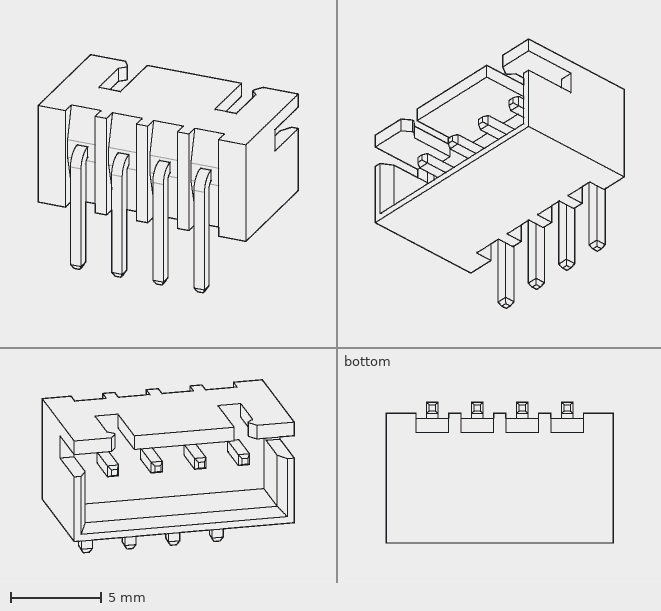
import cadquery as cq


HOUSING_WIDTH = 12.6
HOUSING_DEPTH = 7.21
HOUSING_HEIGHT = 5.93
WALL = 0.81

CAVITY_DEPTH = 3.69
LEAD_IN_DEPTH = 0.69
LEAD_IN_WIDTH = 0.4

WINDOW_DEPTH = 3.2
WINDOW_HEIGHT = 1.31

SLOT_INNER_X = 2.86
SLOT_OUTER_X = 4.17
BUMP_HEIGHT = 0.35
BUMP_PEAK_DEPTH = 0.53
BUMP_FLAT = 0.13
BUMP_END_DEPTH = BUMP_PEAK_DEPTH + BUMP_FLAT + BUMP_HEIGHT

PIN_COUNT = 4
PIN_PITCH = 2.5
PIN_SIZE = 0.64
PIN_PROTRUSION = 0.62
PIN_TOP_Z = 3.82
PIN_BOTTOM_Z = -3.41
PIN_END_SETBACK = 1.02
BEND_INNER_RADIUS = 0.32
TIP_LENGTH = 0.28
TIP_INSET = 0.15

RECESS_WIDTH = 1.8
RECESS_TOP_DEPTH = 0.82
RECESS_LAND_DEPTH = 0.29
RECESS_BOTTOM_DEPTH = 1.08
LAND_TOP_Z = 4.03
LAND_BOTTOM_Z = 2.96

PIN_POSITIONS = [(i - (PIN_COUNT - 1) / 2) * PIN_PITCH for i in range(PIN_COUNT)]


def block(x_min, x_max, y_min, y_max, z_min, z_max):
    """Axis-aligned block between the given limits."""
    size = (x_max - x_min, y_max - y_min, z_max - z_min)
    return cq.Workplane("XY").box(*size, centered=False).translate((x_min, y_min, z_min))


def extrude_along_x(profile, width, centre_x):
    """Extrude a closed profile, drawn in (Y, Z), to a width centred on the given X."""
    return profile.extrude(width / 2, both=True).translate((centre_x, 0, 0))


def cavity():
    """Rectangular cavity whose floor and side walls flare out towards the mouth."""
    half_width = HOUSING_WIDTH / 2 - WALL
    ceiling_z = HOUSING_HEIGHT - WALL
    chamber = block(-half_width, half_width, HOUSING_DEPTH - CAVITY_DEPTH, HOUSING_DEPTH, WALL, ceiling_z)
    height = ceiling_z - WALL
    flare = (
        cq.Workplane("XZ", origin=(0, HOUSING_DEPTH - LEAD_IN_DEPTH, ceiling_z - height / 2))
        .rect(2 * half_width, height)
        .workplane(offset=-LEAD_IN_DEPTH)
        .center(0, -LEAD_IN_WIDTH / 2)
        .rect(2 * (half_width + LEAD_IN_WIDTH), height + LEAD_IN_WIDTH)
        .loft(ruled=True)
    )
    return chamber.union(flare)


def side_windows():
    """Opening through both side walls, running out at the mouth."""
    window_top = HOUSING_HEIGHT - WALL
    return block(
        -HOUSING_WIDTH / 2, HOUSING_WIDTH / 2,
        HOUSING_DEPTH - WINDOW_DEPTH, HOUSING_DEPTH,
        window_top - WINDOW_HEIGHT, window_top,
    )


def keying_slot():
    """Slot through the top wall on the +X side, narrowed by the snap bump."""
    slot_end = HOUSING_DEPTH - CAVITY_DEPTH
    return (
        cq.Workplane("XY", origin=(0, 0, HOUSING_HEIGHT / 2))
        .moveTo(SLOT_INNER_X, slot_end)
        .lineTo(SLOT_OUTER_X, slot_end)
        .lineTo(SLOT_OUTER_X, HOUSING_DEPTH - BUMP_END_DEPTH)
        .lineTo(SLOT_OUTER_X - BUMP_HEIGHT, HOUSING_DEPTH - BUMP_PEAK_DEPTH - BUMP_FLAT)
        .lineTo(SLOT_OUTER_X - BUMP_HEIGHT, HOUSING_DEPTH - BUMP_PEAK_DEPTH)
        .lineTo(SLOT_OUTER_X, HOUSING_DEPTH)
        .lineTo(SLOT_INNER_X, HOUSING_DEPTH)
        .close()
        .extrude(HOUSING_HEIGHT / 2)
    )


def pin_recess(centre_x):
    """Recess behind a pin, sloping away above and below the land."""
    profile = (
        cq.Workplane("YZ")
        .moveTo(0, 0)
        .lineTo(RECESS_BOTTOM_DEPTH, 0)
        .lineTo(RECESS_LAND_DEPTH, LAND_BOTTOM_Z)
        .lineTo(RECESS_LAND_DEPTH, LAND_TOP_Z)
        .lineTo(RECESS_TOP_DEPTH, HOUSING_HEIGHT)
        .lineTo(0, HOUSING_HEIGHT)
        .close()
    )
    return extrude_along_x(profile, RECESS_WIDTH, centre_x)


def pin_tip(end_face):
    """Tapered tip growing out of a pin's square end."""
    return (
        end_face.workplane(centerOption="CenterOfMass")
        .rect(PIN_SIZE, PIN_SIZE)
        .workplane(offset=TIP_LENGTH)
        .rect(PIN_SIZE - 2 * TIP_INSET, PIN_SIZE - 2 * TIP_INSET)
        .loft(ruled=True)
    )


def make_pin(centre_x):
    """Square pin with a right-angle bend and both ends tapered."""
    outer_y = -PIN_PROTRUSION
    inner_y = outer_y + PIN_SIZE
    under_z = PIN_TOP_Z - PIN_SIZE
    shank_end_y = HOUSING_DEPTH - PIN_END_SETBACK - TIP_LENGTH
    shank_bottom_z = PIN_BOTTOM_Z + TIP_LENGTH
    outer_radius = BEND_INNER_RADIUS + PIN_SIZE
    profile = (
        cq.Workplane("YZ")
        .moveTo(outer_y, shank_bottom_z)
        .lineTo(outer_y, PIN_TOP_Z - outer_radius)
        .radiusArc((outer_y + outer_radius, PIN_TOP_Z), outer_radius)
        .lineTo(shank_end_y, PIN_TOP_Z)
        .lineTo(shank_end_y, under_z)
        .lineTo(inner_y + BEND_INNER_RADIUS, under_z)
        .radiusArc((inner_y, under_z - BEND_INNER_RADIUS), -BEND_INNER_RADIUS)
        .lineTo(inner_y, shank_bottom_z)
        .close()
    )
    pin = extrude_along_x(profile, PIN_SIZE, centre_x)
    return pin.union(pin_tip(pin.faces("<Z"))).union(pin_tip(pin.faces(">Y")))


def make_housing(pins):
    """Housing with its cavity, openings, recesses and a fitted hole for every pin."""
    housing = block(-HOUSING_WIDTH / 2, HOUSING_WIDTH / 2, 0, HOUSING_DEPTH, 0, HOUSING_HEIGHT)
    slot = keying_slot()
    housing = housing.cut(cavity()).cut(side_windows()).cut(slot).cut(slot.mirror("YZ"))
    for centre_x in PIN_POSITIONS:
        housing = housing.cut(pin_recess(centre_x))
    for pin in pins:
        housing = housing.cut(pin)
    return housing


pins = [make_pin(centre_x) for centre_x in PIN_POSITIONS]
housing = make_housing(pins)

result = cq.Compound.makeCompound([housing.val(), *[pin.val() for pin in pins]])